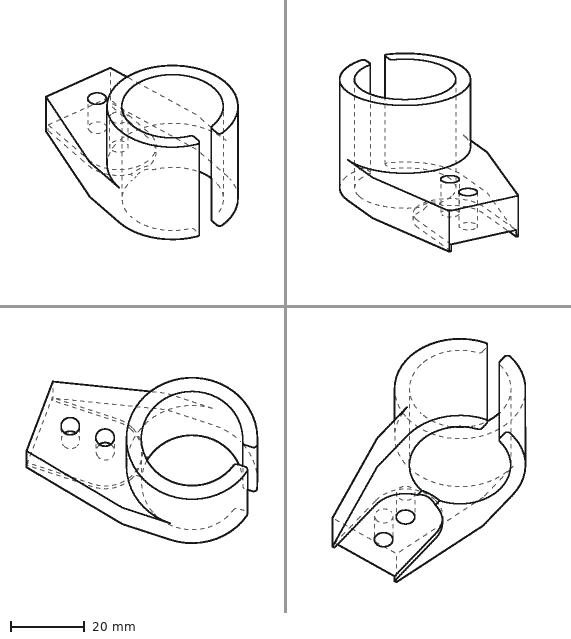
import cadquery as cq

ring_radius = 17.75
bore_radius = 13.7
ring_height = 32.0
gap_width = 6.0
tip_fillet = 1.0

block_height = 12.0
block_end_x = -43.75
block_end_width = 21.5
taper_length = 30.0

hole_diameter = 5.0
hole_spacing = 10.0
first_hole_x = block_end_x + 8.8
second_hole_x = first_hole_x + hole_spacing

recess_width = 20.15
recess_depth = 2.0
channel_width = gap_width
channel_depth = 1.0


def make_block():
    taper_end_x = block_end_x + taper_length
    half_end = block_end_width / 2
    return (
        cq.Workplane("XY")
        .moveTo(block_end_x, -half_end)
        .lineTo(taper_end_x, -ring_radius)
        .lineTo(0, -ring_radius)
        .lineTo(0, ring_radius)
        .lineTo(taper_end_x, ring_radius)
        .lineTo(block_end_x, half_end)
        .close()
        .extrude(block_height)
    )


def make_open_ring():
    ring = cq.Workplane("XY").circle(ring_radius).circle(bore_radius).extrude(ring_height)
    gap = cq.Workplane("XY").box(
        ring_radius, gap_width, ring_height, centered=(False, True, False)
    )
    gap_edges = cq.selectors.BoxSelector(
        (bore_radius / 2, -gap_width, 0), (ring_radius + 0.6, gap_width, ring_height)
    )
    return ring.cut(gap).edges("|Z").edges(gap_edges).fillet(tip_fillet)


def make_recess():
    """Slot open at the block end, its round end centred on the second hole."""
    half_width = recess_width / 2
    return (
        cq.Workplane("XY")
        .moveTo(block_end_x, -half_width)
        .lineTo(second_hole_x, -half_width)
        .threePointArc((second_hole_x + half_width, 0), (second_hole_x, half_width))
        .lineTo(block_end_x, half_width)
        .close()
        .extrude(recess_depth)
    )


def make_channel():
    """Arched groove along X, from the block end into the bore."""
    half_width = channel_width / 2
    return (
        cq.Workplane("YZ", origin=(block_end_x, 0, 0))
        .moveTo(-half_width, 0)
        .threePointArc((0, channel_depth), (half_width, 0))
        .close()
        .extrude(-block_end_x)
    )


bore = cq.Workplane("XY").circle(bore_radius).extrude(ring_height)
screw_holes = (
    cq.Workplane("XY")
    .pushPoints([(first_hole_x, 0), (second_hole_x, 0)])
    .circle(hole_diameter / 2)
    .extrude(block_height)
)

result = (
    make_block()
    .cut(bore)
    .union(make_open_ring())
    .cut(screw_holes)
    .cut(make_recess())
    .cut(make_channel())
)